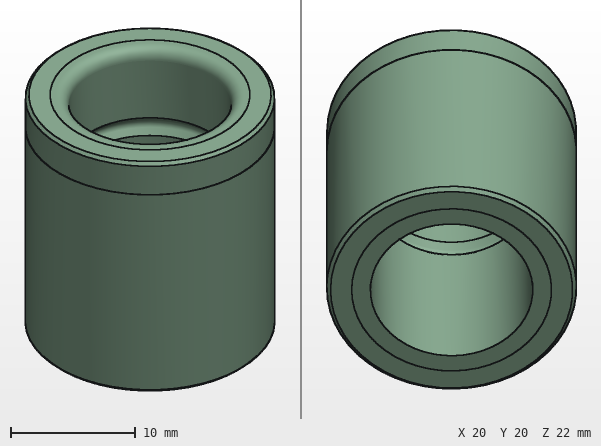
import cadquery as cq
import math

total_height = 22.0

body_radius = 10.0
neck_radius = 9.975
neck_height = 3.0
body_chamfer = 0.31
neck_chamfer = 0.28

liner_radius = 8.0
bore_radius = 6.5
mouth_fillet = 1.0

groove_depth_from_top = total_height / 3
groove_width = 1.7
groove_root_radius = 0.5
groove_flank_angle = math.radians(40)

shoulder_z = total_height - neck_height
groove_z = total_height - groove_depth_from_top


def cylinder(radius, bottom_z, top_z):
    """Solid cylinder on the Z axis between two heights."""
    return cq.Workplane("XY").workplane(offset=bottom_z).circle(radius).extrude(top_z - bottom_z)


def make_sleeve():
    """Outer sleeve with a slightly reduced neck and a plain through hole for the liner."""
    body = cylinder(body_radius, 0, shoulder_z).faces("<Z").edges().chamfer(body_chamfer)
    neck = cylinder(neck_radius, shoulder_z, total_height).faces(">Z").edges().chamfer(neck_chamfer)
    liner_hole = cylinder(liner_radius, 0, total_height)
    return body.union(neck).cut(liner_hole)


def make_groove():
    """Ring that cuts the groove: flanks tangent to a round root."""
    half_width = groove_width / 2
    sine = math.sin(groove_flank_angle)
    cosine = math.cos(groove_flank_angle)
    root_centre = bore_radius + (half_width * sine - groove_root_radius) / cosine
    tangent_radius = root_centre + groove_root_radius * cosine
    tangent_offset = groove_root_radius * sine
    return (
        cq.Workplane("XZ")
        .moveTo(bore_radius, groove_z - half_width)
        .lineTo(tangent_radius, groove_z - tangent_offset)
        .threePointArc(
            (root_centre + groove_root_radius, groove_z),
            (tangent_radius, groove_z + tangent_offset),
        )
        .lineTo(bore_radius, groove_z + half_width)
        .close()
        .revolve(360, (0, 0, 0), (0, 1, 0))
    )


def make_liner():
    """Bearing liner, flush with the sleeve, with a rounded mouth and a groove in the bore."""
    ring = cylinder(liner_radius, 0, total_height).cut(cylinder(bore_radius, 0, total_height))
    bore_edge = cq.selectors.RadiusNthSelector(0)
    ring = ring.faces(">Z").edges(bore_edge).fillet(mouth_fillet)
    return ring.cut(make_groove())


sleeve = make_sleeve()
liner = make_liner()

result = cq.Compound.makeCompound([sleeve.val(), liner.val()])